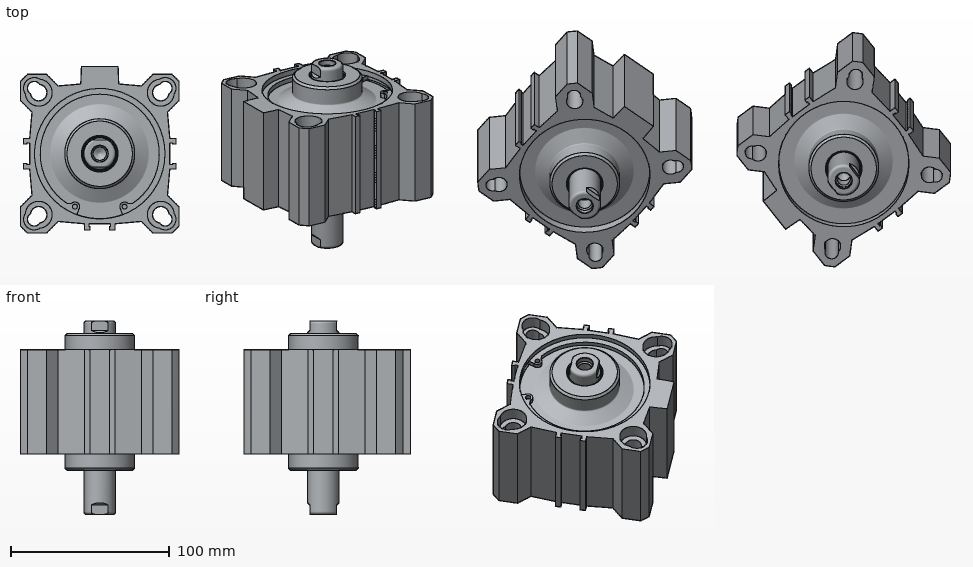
import cadquery as cq
import math

HOUSING_HEIGHT = 65.8
HALF_WIDTH = 50.0
POST_CORNER = 4.6
POST_INNER = 33.5
VALLEY_DISTANCE = 42.7
WALL_DISTANCE = 44.2

RAIL_OUTER = 9.6
RAIL_INNER = 6.7
RAIL_LIP = 6.1
RAIL_TOP = 48.1
RAIL_LIP_THICKNESS = 2.2

PORT_BLOCK_END = 55.0
PORT_BLOCK_HALF_BASE = 12.1
PORT_BLOCK_HALF_END = 11.6

BOLT_HOLES = (
    (38.4, 10.2, 17.0),
    (41.2, 8.4, 13.4),
)
BOLT_COUNTERBORE_DEPTH = 8.9

BORE_DIAMETER = 80.0
MOUTH_DIAMETER = 82.1
COVER_RIM_DEPTH = 6.3
COVER_RIM_THICKNESS = 7.3
SEAT_DEPTH = COVER_RIM_DEPTH + COVER_RIM_THICKNESS

RING_DIAMETER = 85.6
RING_INNER_RADIUS = 37.5
RING_THICKNESS = 2.9
RING_BASE = HOUSING_HEIGHT - COVER_RIM_DEPTH
LUG_X = 15.6
LUG_Y = -33.3
LUG_RADIUS = 2.9
LUG_HOLE_DIAMETER = 3.0
LUG_SHOULDER_Y = -31.5

COVER_DIAMETER = 81.7
CONE_DIAMETER = 62.0
CONE_RISE = 4.5
BOSS_DIAMETER = 44.0
BOSS_HEIGHT = 10.2
BOSS_CHAMFER = 1.5
CONE_FILLET = 0.7

OPENING_RIM_DIAMETER = 23.0
WIPER_DIAMETER = 22.0
WIPER_DEPTH = 1.5
RELIEF_DIAMETER = 20.6
RELIEF_DEPTH = 2.9

ROD_DIAMETER = 20.0
ROD_LENGTH = 122.0
ROD_TOP_STANDOUT = 18.2
ROD_TOP = HOUSING_HEIGHT + ROD_TOP_STANDOUT
ROD_MIDDLE = ROD_TOP - ROD_LENGTH / 2
ROD_FILLET = 1.8
FLAT_WIDTH = 17.0
FLAT_LENGTH = 6.0
END_HOLE_RIM_DIAMETER = 10.7
END_HOLE_DIAMETER = 10.2
END_HOLE_DEPTH = 3.4
DRILL_DIAMETER = 8.4
DRILL_DEPTH = 14.6
DRILL_POINT_ANGLE = 118


def cylinder(diameter, bottom, height):
    return cq.Workplane("XY", origin=(0, 0, bottom)).circle(diameter / 2).extrude(height)


def revolved(points):
    """Solid of revolution about Z from (radius, z) points."""
    return cq.Workplane("XZ").polyline(points).close().revolve(360, (0, 0, 0), (0, 1, 0))


def mirrored_top_to_bottom(body, middle):
    return body.mirror("XY", (0, 0, middle))


def quarter_turned(x, y, quarters):
    """Point turned about Z by a number of quarter turns."""
    for _ in range(quarters):
        x, y = -y, x
    return x, y


def housing_profile():
    """Block with the four-fold symmetric outline, drawn one side and corner at a time."""
    valley_offset = POST_INNER - (HALF_WIDTH - VALLEY_DISTANCE)
    post_outer = HALF_WIDTH - POST_CORNER
    corner_middle = math.hypot(HALF_WIDTH, post_outer) / math.sqrt(2)
    outline = cq.Workplane("XY").moveTo(WALL_DISTANCE, -RAIL_OUTER)
    for quarter in range(4):
        outline = (
            outline
            .lineTo(*quarter_turned(WALL_DISTANCE, RAIL_OUTER, quarter))
            .lineTo(*quarter_turned(VALLEY_DISTANCE, valley_offset, quarter))
            .lineTo(*quarter_turned(HALF_WIDTH, POST_INNER, quarter))
            .lineTo(*quarter_turned(HALF_WIDTH, post_outer, quarter))
            .threePointArc(
                quarter_turned(corner_middle, corner_middle, quarter),
                quarter_turned(post_outer, HALF_WIDTH, quarter),
            )
            .lineTo(*quarter_turned(POST_INNER, HALF_WIDTH, quarter))
            .lineTo(*quarter_turned(valley_offset, VALLEY_DISTANCE, quarter))
            .lineTo(*quarter_turned(RAIL_OUTER, WALL_DISTANCE, quarter))
        )
    return outline.close().extrude(HOUSING_HEIGHT)


def rail_pair():
    """Two hooked rails facing each other on the +X side."""
    root = VALLEY_DISTANCE
    lip_base = RAIL_TOP - RAIL_LIP_THICKNESS
    rail = (
        cq.Workplane("XY")
        .polyline([
            (root, RAIL_OUTER),
            (RAIL_TOP, RAIL_OUTER),
            (RAIL_TOP, RAIL_LIP),
            (lip_base, RAIL_LIP),
            (lip_base, RAIL_INNER),
            (root, RAIL_INNER),
        ])
        .close()
        .extrude(HOUSING_HEIGHT)
    )
    return rail.union(rail.mirror("XZ"))


def port_block():
    return (
        cq.Workplane("XY")
        .polyline([
            (-PORT_BLOCK_HALF_BASE, VALLEY_DISTANCE),
            (PORT_BLOCK_HALF_BASE, VALLEY_DISTANCE),
            (PORT_BLOCK_HALF_END, PORT_BLOCK_END),
            (-PORT_BLOCK_HALF_END, PORT_BLOCK_END),
        ])
        .close()
        .extrude(HOUSING_HEIGHT)
    )


def bolt_holes():
    """Cutters for the through holes and top counterbores of all four posts."""
    cutter = cq.Workplane("XY")
    for offset, hole_diameter, counterbore_diameter in BOLT_HOLES:
        for x in (-offset, offset):
            for y in (-offset, offset):
                hole = cylinder(hole_diameter, 0, HOUSING_HEIGHT)
                counterbore = cylinder(
                    counterbore_diameter, HOUSING_HEIGHT - BOLT_COUNTERBORE_DEPTH, BOLT_COUNTERBORE_DEPTH
                )
                cutter = cutter.union(hole.union(counterbore).translate((x, y, 0)))
    return cutter


def make_housing():
    body = housing_profile().union(port_block())
    for angle in (0, 180, 270):
        body = body.union(rail_pair().rotate((0, 0, 0), (0, 0, 1), angle))
    body = body.cut(bolt_holes())
    body = body.cut(cylinder(BORE_DIAMETER, 0, HOUSING_HEIGHT))
    for seat_bottom in (0, HOUSING_HEIGHT - SEAT_DEPTH):
        body = body.cut(cylinder(MOUTH_DIAMETER, seat_bottom, SEAT_DEPTH))
    return body.cut(cylinder(RING_DIAMETER, RING_BASE, RING_THICKNESS))


def make_retaining_ring():
    """Open snap ring with a pierced lug at each end of its gap."""
    outer = cylinder(RING_DIAMETER, RING_BASE, RING_THICKNESS)
    ring = outer.cut(cylinder(2 * RING_INNER_RADIUS, RING_BASE, RING_THICKNESS))
    plane = cq.Workplane("XY", origin=(0, 0, RING_BASE))
    shoulder_x = math.sqrt(RING_INNER_RADIUS**2 - LUG_SHOULDER_Y**2)
    for side in (-1, 1):
        lug = plane.center(side * LUG_X, LUG_Y).circle(LUG_RADIUS).extrude(RING_THICKNESS)
        web = (
            plane.polyline([
                (side * LUG_X, LUG_SHOULDER_Y),
                (side * shoulder_x, LUG_SHOULDER_Y),
                (side * shoulder_x, -RING_DIAMETER / 2),
                (side * LUG_X, -RING_DIAMETER / 2),
            ])
            .close()
            .extrude(RING_THICKNESS)
            .intersect(outer)
        )
        ring = ring.union(lug).union(web)

    lug_distance = math.hypot(LUG_X, LUG_Y)
    gap_half_angle = math.atan2(LUG_X, -LUG_Y) - math.asin(LUG_RADIUS / lug_distance)
    gap_half_width = RING_DIAMETER * math.tan(gap_half_angle)
    gap = (
        plane.polyline([(0, 0), (-gap_half_width, -RING_DIAMETER), (gap_half_width, -RING_DIAMETER)])
        .close()
        .extrude(RING_THICKNESS)
    )
    lug_holes = (
        plane.pushPoints([(-LUG_X, LUG_Y), (LUG_X, LUG_Y)])
        .circle(LUG_HOLE_DIAMETER / 2)
        .extrude(RING_THICKNESS)
    )
    return ring.cut(gap).cut(lug_holes)


def make_top_cover():
    rim_top = HOUSING_HEIGHT - COVER_RIM_DEPTH
    cover_bottom = HOUSING_HEIGHT - SEAT_DEPTH
    cone_top = rim_top + CONE_RISE
    boss_top = HOUSING_HEIGHT + BOSS_HEIGHT
    cover = revolved([
        (0, cover_bottom),
        (COVER_DIAMETER / 2, cover_bottom),
        (COVER_DIAMETER / 2, rim_top),
        (CONE_DIAMETER / 2, rim_top),
        (BOSS_DIAMETER / 2, cone_top),
        (BOSS_DIAMETER / 2, boss_top),
        (0, boss_top),
    ])
    cover = cover.faces(">Z").chamfer(BOSS_CHAMFER)
    cone_edges = cq.selectors.BoxSelector(
        (-CONE_DIAMETER, -CONE_DIAMETER, rim_top - CONE_FILLET),
        (CONE_DIAMETER, CONE_DIAMETER, cone_top + CONE_FILLET),
    )
    cone_circles = [
        edge
        for edge in cover.edges("%CIRCLE").edges(cone_edges).vals()
        if edge.radius() < COVER_DIAMETER / 2 - CONE_FILLET
    ]
    cover = cover.newObject(cone_circles).fillet(CONE_FILLET)

    rim_chamfer = (OPENING_RIM_DIAMETER - WIPER_DIAMETER) / 2
    opening = revolved([
        (0, boss_top),
        (OPENING_RIM_DIAMETER / 2, boss_top),
        (WIPER_DIAMETER / 2, boss_top - rim_chamfer),
        (WIPER_DIAMETER / 2, boss_top - WIPER_DEPTH),
        (RELIEF_DIAMETER / 2, boss_top - WIPER_DEPTH),
        (RELIEF_DIAMETER / 2, boss_top - RELIEF_DEPTH),
        (ROD_DIAMETER / 2, boss_top - RELIEF_DEPTH),
        (ROD_DIAMETER / 2, cover_bottom),
        (0, cover_bottom),
    ])
    return cover.cut(opening)


def make_bottom_cover():
    return mirrored_top_to_bottom(make_top_cover(), HOUSING_HEIGHT / 2)


def rod_end_hole():
    """Cutter for the stepped, chamfered hole in the top end of the rod."""
    rim_chamfer = (END_HOLE_RIM_DIAMETER - END_HOLE_DIAMETER) / 2
    step = (END_HOLE_DIAMETER - DRILL_DIAMETER) / 2
    point_height = DRILL_DIAMETER / 2 / math.tan(math.radians(DRILL_POINT_ANGLE / 2))
    return revolved([
        (0, ROD_TOP),
        (END_HOLE_RIM_DIAMETER / 2, ROD_TOP),
        (END_HOLE_DIAMETER / 2, ROD_TOP - rim_chamfer),
        (END_HOLE_DIAMETER / 2, ROD_TOP - END_HOLE_DEPTH),
        (DRILL_DIAMETER / 2, ROD_TOP - END_HOLE_DEPTH - step),
        (DRILL_DIAMETER / 2, ROD_TOP - DRILL_DEPTH),
        (0, ROD_TOP - DRILL_DEPTH - point_height),
    ])


def wrench_flat():
    """Cutter for the +Y flat at the top end of the rod, with its 45 degree run-out."""
    flat_bottom = ROD_TOP - FLAT_LENGTH
    flat_y = FLAT_WIDTH / 2
    beyond = ROD_DIAMETER - flat_y
    return (
        cq.Workplane("YZ")
        .polyline([
            (flat_y, ROD_TOP),
            (flat_y, flat_bottom),
            (flat_y + beyond, flat_bottom - beyond),
            (flat_y + beyond, ROD_TOP),
        ])
        .close()
        .extrude(ROD_DIAMETER / 2, both=True)
    )


def make_rod():
    """Rod with the same end work at its top and bottom."""
    rod = cylinder(ROD_DIAMETER, ROD_TOP - ROD_LENGTH, ROD_LENGTH)
    rod = rod.faces("<Z or >Z").edges().fillet(ROD_FILLET)
    end_work = rod_end_hole().union(wrench_flat()).union(wrench_flat().mirror("XZ"))
    return rod.cut(end_work).cut(mirrored_top_to_bottom(end_work, ROD_MIDDLE))


housing = make_housing()
retaining_ring = make_retaining_ring()
top_cover = make_top_cover()
bottom_cover = make_bottom_cover()
rod = make_rod()

result = cq.Compound.makeCompound([
    housing.val(),
    retaining_ring.val(),
    top_cover.val(),
    bottom_cover.val(),
    rod.val(),
])